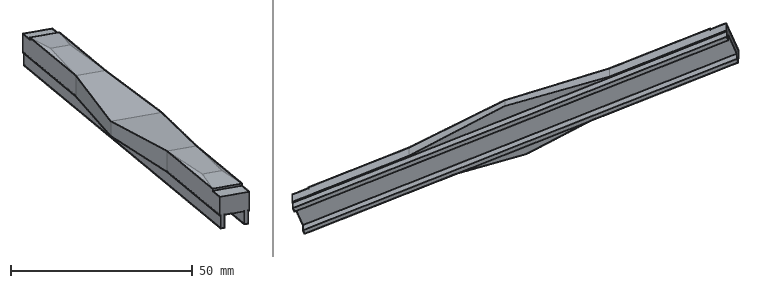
import cadquery as cq

length = 130.0
centre_width = 15.5
end_width = 9.0
peak_height = 10.5

rail_height = 3.9
end_block_height = 9.5
pad_height = 10.1
centre_height = 8.3

end_block_length = 4.8
flare_start = 35.0
peak_distance = 15.0

peak_width = 6.0
rail_thickness = 1.2
rail_outer_width = 8.3

half_length = length / 2
pad_outer_x = half_length - end_block_length
pad_inner_x = half_length - flare_start
peak_x = half_length - peak_distance


def make_body():
    """Bar with a diamond-shaped middle and a top that dips to the centre."""
    plan = (
        cq.Workplane("XY")
        .polyline([
            (-half_length, -end_width / 2),
            (-pad_inner_x, -end_width / 2),
            (0, -centre_width / 2),
            (pad_inner_x, -end_width / 2),
            (half_length, -end_width / 2),
            (half_length, end_width / 2),
            (pad_inner_x, end_width / 2),
            (0, centre_width / 2),
            (-pad_inner_x, end_width / 2),
            (-half_length, end_width / 2),
        ])
        .close()
        .extrude(peak_height)
    )
    side_profile = (
        cq.Workplane("XZ")
        .polyline([
            (-half_length, rail_height),
            (half_length, rail_height),
            (half_length, end_block_height),
            (pad_outer_x, end_block_height),
            (pad_outer_x, pad_height),
            (pad_inner_x, pad_height),
            (0, centre_height),
            (-pad_inner_x, pad_height),
            (-pad_outer_x, pad_height),
            (-pad_outer_x, end_block_height),
            (-half_length, end_block_height),
        ])
        .close()
        .extrude(centre_width / 2, both=True)
    )
    return plan.intersect(side_profile)


def make_pad_crown():
    """Shallow hipped roof on the +X pad, with its ridge running along Y."""
    ridge = (
        cq.Workplane("XZ")
        .polyline([(pad_inner_x, pad_height), (pad_outer_x, pad_height), (peak_x, peak_height)])
        .close()
        .extrude(end_width / 2, both=True)
    )
    hips = (
        cq.Workplane("YZ")
        .polyline([
            (-end_width / 2, pad_height),
            (end_width / 2, pad_height),
            (peak_width / 2, peak_height),
            (-peak_width / 2, peak_height),
        ])
        .close()
        .extrude(half_length)
    )
    return ridge.intersect(hips)


def make_rail(side):
    """Thin full-length rail below the body, on the given side of Y."""
    rail_y = side * (rail_outer_width - rail_thickness) / 2
    return (
        cq.Workplane("XY")
        .center(0, rail_y)
        .rect(length, rail_thickness)
        .extrude(rail_height)
    )


crown = make_pad_crown()
result = make_body().union(crown).union(crown.mirror("YZ"))
for side in (-1, 1):
    result = result.union(make_rail(side))